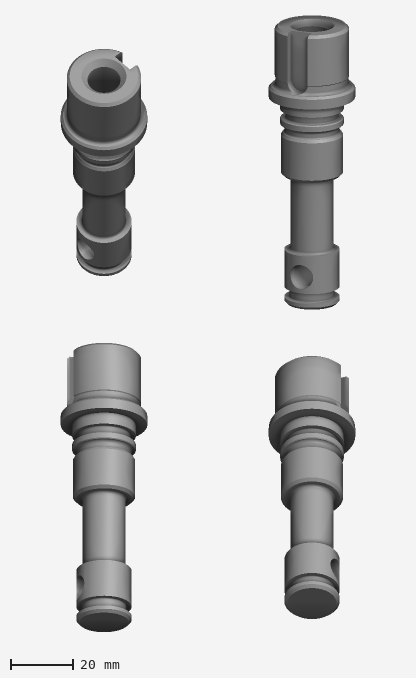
import cadquery as cq
import math

length = 93.0

head_radius = 23.9 / 2
head_chamfer = 0.9
head_bottom = 76.3
head_relief_radius = 23.3 / 2
flange_radius = 27.8 / 2
flange_chamfer = 0.7
flange_top = 73.0
flange_bottom = 69.0
flange_fillet = 1.0

land_radius = 10.2
undercut_radius = 20.2 / 2
undercut_bottom = 68.5
land_bottom = 65.1
seal_groove_radius = 17.0 / 2
ring_top = 62.3
ring_bottom = 60.0
ring_chamfer = 0.3
neck_radius = 8.8
neck_top_fillet = 1.0
neck_bottom_fillet = 0.6

sleeve_radius = 20.0 / 2
sleeve_top = 57.4
sleeve_bottom = 43.0
sleeve_chamfer = 0.9
stem_radius = 7.0
stem_fillet = 0.8

foot_radius = 17.8 / 2
foot_top = 18.0
foot_chamfer = 0.9
foot_groove_radius = 14.4 / 2
foot_groove_top = 5.5
foot_groove_bottom = 2.1
corner_fillet = 0.4

cross_hole_diameter = 8.0
cross_hole_height = 11.0
bore_radius = 10.6 / 2
bore_mouth_radius = 14.4 / 2
bore_depth = 37.2
drill_point_angle = 118.0
keyway_width = 7.2
keyway_wall = 8.0
keyway_bottom = 73.1


def recess(profile, floor_radius, top, bottom, top_fillet, bottom_fillet):
    """Append a recess, drawn downwards, with filleted corners at its floor."""
    diagonal = 1 - math.sqrt(0.5)
    if top_fillet:
        profile = profile.lineTo(floor_radius + top_fillet, top).threePointArc(
            (floor_radius + diagonal * top_fillet, top - diagonal * top_fillet),
            (floor_radius, top - top_fillet),
        )
    else:
        profile = profile.lineTo(floor_radius, top)
    return profile.lineTo(floor_radius, bottom + bottom_fillet).threePointArc(
        (floor_radius + diagonal * bottom_fillet, bottom + diagonal * bottom_fillet),
        (floor_radius + bottom_fillet, bottom),
    )


def turned_body():
    """Half outline from the top centre down to the foot, revolved about Z."""
    profile = (
        cq.Workplane("XZ")
        .moveTo(0, length)
        .lineTo(head_radius - head_chamfer, length)
        .lineTo(head_radius, length - head_chamfer)
        .lineTo(head_radius, head_bottom)
    )
    relief_top = head_bottom - (head_radius - head_relief_radius)
    profile = recess(profile, head_relief_radius, relief_top, flange_top, 0, flange_fillet)
    profile = (
        profile.lineTo(flange_radius - flange_chamfer, flange_top)
        .lineTo(flange_radius, flange_top - flange_chamfer)
        .lineTo(flange_radius, flange_bottom)
        .lineTo(undercut_radius, flange_bottom)
        .lineTo(undercut_radius, undercut_bottom)
        .lineTo(land_radius, undercut_bottom)
        .lineTo(land_radius, land_bottom)
    )
    profile = recess(profile, seal_groove_radius, land_bottom, ring_top, corner_fillet, corner_fillet)
    profile = (
        profile.lineTo(land_radius - ring_chamfer, ring_top)
        .lineTo(land_radius, ring_top - ring_chamfer)
        .lineTo(land_radius, ring_bottom + ring_chamfer)
        .lineTo(land_radius - ring_chamfer, ring_bottom)
    )
    profile = recess(profile, neck_radius, ring_bottom, sleeve_top, neck_top_fillet, neck_bottom_fillet)
    profile = (
        profile.lineTo(sleeve_radius, sleeve_top - sleeve_chamfer)
        .lineTo(sleeve_radius, sleeve_bottom + sleeve_chamfer)
        .lineTo(sleeve_radius - sleeve_chamfer, sleeve_bottom)
    )
    profile = recess(profile, stem_radius, sleeve_bottom, foot_top, stem_fillet, stem_fillet)
    profile = profile.lineTo(foot_radius, foot_top).lineTo(foot_radius, foot_groove_top)
    profile = recess(
        profile, foot_groove_radius, foot_groove_top, foot_groove_bottom, corner_fillet, corner_fillet
    )
    profile = (
        profile.lineTo(foot_radius, foot_groove_bottom)
        .lineTo(foot_radius, foot_chamfer)
        .lineTo(foot_radius - foot_chamfer, 0)
        .lineTo(0, 0)
        .close()
    )
    return profile.revolve(360, (0, 0), (0, 1))


def bore():
    """Blind drilled bore with a 45 degree mouth and a conical end."""
    mouth_depth = bore_mouth_radius - bore_radius
    point_depth = bore_radius / math.tan(math.radians(drill_point_angle / 2))
    outline = [
        (0, length),
        (bore_mouth_radius, length),
        (bore_radius, length - mouth_depth),
        (bore_radius, length - bore_depth),
        (0, length - bore_depth - point_depth),
    ]
    return cq.Workplane("XZ").polyline(outline).close().revolve(360, (0, 0), (0, 1))


def cross_hole():
    """Hole through the foot along Y."""
    return (
        cq.Workplane("XZ")
        .center(0, cross_hole_height)
        .circle(cross_hole_diameter / 2)
        .extrude(foot_radius, both=True)
    )


def keyway():
    """Round-bottomed slot on the +Y side of the head, open at the top."""
    half_width = keyway_width / 2
    arc_height = keyway_bottom + half_width
    return (
        cq.Workplane("XZ", origin=(0, keyway_wall, 0))
        .moveTo(-half_width, length)
        .lineTo(-half_width, arc_height)
        .threePointArc((0, keyway_bottom), (half_width, arc_height))
        .lineTo(half_width, length)
        .close()
        .extrude(keyway_wall - flange_radius)
    )


result = turned_body().cut(bore()).cut(cross_hole()).cut(keyway())